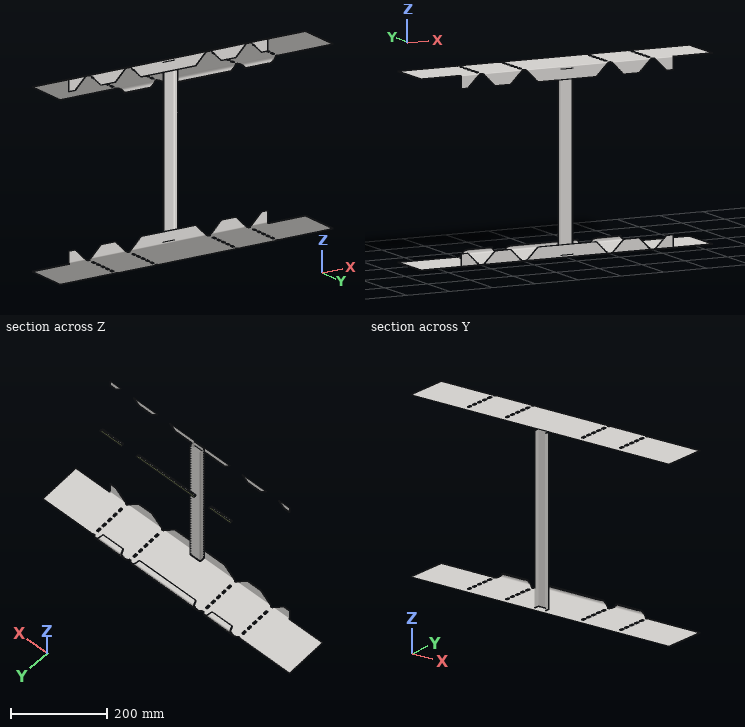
import cadquery as cq
import math

LENGTH = 680.0
DEPTH = 114.0
HEIGHT = 404.2
SHEET = 1.6

FRONT_BEND_RADIUS = 2.5
FLANGE_HEIGHT = 28.2
FLANGE_LENGTH = 495.0
BACK_BEND_RADIUS = 7.0
LIP_STRAIGHT = 3.2
RETURN_BEND_RADIUS = 3.5
RETURN_BEND_ANGLE = 70.0
RETURN_LENGTH = 9.8

FOLD_LINES = (-200.0, -100.0, 100.0, 200.0)
SLOT_WIDTH = 4.5
SLOT_LENGTH = 8.5
SLOT_PITCH = 17.0
SLOT_COUNT = 5
SLOT_ROW_OFFSET = -0.7
NOTCH_WIDTH = SLOT_WIDTH
NOTCH_BITE = 1.5

POST_WIDTH = 30.0
POST_DEPTH = 15.0
POST_CORNER_RADIUS = 3.0
POST_END_GAP = 6.0

TOP = HEIGHT / 2
FRONT = -DEPTH / 2
BACK = DEPTH / 2
PLATE_FRONT = FRONT + FRONT_BEND_RADIUS
PLATE_BACK = BACK - BACK_BEND_RADIUS


def point_at(start, distance, degrees):
    """Point at a distance and direction from a start point, in the YZ plane."""
    angle = math.radians(degrees)
    return (start[0] + distance * math.cos(angle), start[1] + distance * math.sin(angle))


def plate():
    """Flat web of the top rail."""
    middle = (PLATE_FRONT + PLATE_BACK) / 2
    return (
        cq.Workplane("XY", origin=(0, middle, TOP - SHEET))
        .rect(LENGTH, PLATE_BACK - PLATE_FRONT)
        .extrude(SHEET)
    )


def flange():
    """Front flange with the bend that joins it to the plate."""
    centre = (PLATE_FRONT, TOP - FRONT_BEND_RADIUS)
    inner_radius = FRONT_BEND_RADIUS - SHEET
    bottom = TOP - FLANGE_HEIGHT
    return (
        cq.Workplane("YZ")
        .moveTo(PLATE_FRONT, TOP)
        .threePointArc(point_at(centre, FRONT_BEND_RADIUS, 135), point_at(centre, FRONT_BEND_RADIUS, 180))
        .lineTo(FRONT, bottom)
        .lineTo(FRONT + SHEET, bottom)
        .lineTo(*point_at(centre, inner_radius, 180))
        .threePointArc(point_at(centre, inner_radius, 135), point_at(centre, inner_radius, 90))
        .close()
        .extrude(FLANGE_LENGTH / 2, both=True)
    )


def lip():
    """Back lip: a wide bend, a short straight and an inward return."""
    bend = (PLATE_BACK, TOP - BACK_BEND_RADIUS)
    bend_inner = BACK_BEND_RADIUS - SHEET
    turn = (BACK - RETURN_BEND_RADIUS, bend[1] - LIP_STRAIGHT)
    turn_inner = RETURN_BEND_RADIUS - SHEET
    turn_end = -RETURN_BEND_ANGLE
    turn_middle = turn_end / 2
    return_direction = turn_end - 90
    outer_corner = point_at(turn, RETURN_BEND_RADIUS, turn_end)
    inner_corner = point_at(turn, turn_inner, turn_end)
    return (
        cq.Workplane("YZ")
        .moveTo(PLATE_BACK, TOP)
        .threePointArc(point_at(bend, BACK_BEND_RADIUS, 45), point_at(bend, BACK_BEND_RADIUS, 0))
        .lineTo(*point_at(turn, RETURN_BEND_RADIUS, 0))
        .threePointArc(point_at(turn, RETURN_BEND_RADIUS, turn_middle), outer_corner)
        .lineTo(*point_at(outer_corner, RETURN_LENGTH, return_direction))
        .lineTo(*point_at(inner_corner, RETURN_LENGTH, return_direction))
        .lineTo(*inner_corner)
        .threePointArc(point_at(turn, turn_inner, turn_middle), point_at(turn, turn_inner, 0))
        .lineTo(*point_at(bend, bend_inner, 0))
        .threePointArc(point_at(bend, bend_inner, 45), point_at(bend, bend_inner, 90))
        .close()
        .extrude((FOLD_LINES[-1] - FOLD_LINES[0]) / 2, both=True)
    )


def trapezoid(plane, root_half, mouth_half, start, end):
    """Symmetric outline that widens from the start height to the end height."""
    corners = [(-root_half, start), (root_half, start), (mouth_half, end), (-mouth_half, end)]
    return plane.polyline(corners).close()


def fold_notch(x, bend_start, outward, bend_radius):
    """Cutter for a 90 degree V, laid out on the flat sheet and wrapped around a bend.

    Around the bend the V is square to the bend's chord and widens with the bend's arc length.
    Below the bend it runs on down the sheet at 45 degrees.
    """
    root_half = NOTCH_WIDTH / 2
    bend_half = root_half + bend_radius * math.pi / 2
    chord = bend_radius * math.sqrt(2)
    chord_plane = cq.Plane(origin=(x, bend_start, TOP), xDir=(1, 0, 0), normal=(0, 1, outward))
    around_bend = trapezoid(cq.Workplane(chord_plane), root_half, bend_half, 0, chord)
    around_bend = around_bend.extrude(bend_radius / 2, both=True)

    drop = FLANGE_HEIGHT - bend_radius
    upright_plane = cq.Workplane("XZ", origin=(x, bend_start, TOP - bend_radius))
    down_sheet = trapezoid(upright_plane, bend_half, bend_half + drop, 0, -drop)
    down_sheet = down_sheet.extrude(2 * BACK_BEND_RADIUS, both=True)
    return around_bend.union(down_sheet)


def plate_cuts(x):
    """Slot row and the two square notch roots on one fold line."""
    plane = cq.Workplane("XY", origin=(x, 0, TOP - SHEET))
    slots = plane.center(0, SLOT_ROW_OFFSET).rarray(1, SLOT_PITCH, 1, SLOT_COUNT)
    cuts = slots.rect(SLOT_WIDTH, SLOT_LENGTH).extrude(SHEET)
    edges = plane.pushPoints([(0, PLATE_FRONT), (0, PLATE_BACK)])
    return cuts.union(edges.rect(NOTCH_WIDTH, 2 * NOTCH_BITE).extrude(SHEET))


def rail():
    """Top rail."""
    flat = plate()
    front = flange()
    back = lip()
    for x in FOLD_LINES:
        flat = flat.cut(plate_cuts(x))
        front = front.cut(fold_notch(x, PLATE_FRONT, -1, FRONT_BEND_RADIUS))
        back = back.cut(fold_notch(x, PLATE_BACK, 1, BACK_BEND_RADIUS))
    return flat.union(front).union(back)


def post_bar(inset):
    """Round-cornered upright bar, set in all round from the outside of the post."""
    return (
        cq.Workplane("XY", origin=(0, FRONT + SHEET + POST_DEPTH / 2, 0))
        .rect(POST_WIDTH - 2 * inset, POST_DEPTH - 2 * inset)
        .extrude(TOP - POST_END_GAP, both=True)
        .edges("|Z")
        .fillet(POST_CORNER_RADIUS - inset)
    )


def post():
    """Thin-walled upright that stands against the inside of both front flanges."""
    return post_bar(0).cut(post_bar(SHEET))


top_rail = rail()
bottom_rail = top_rail.mirror("XY")
upright = post()

result = cq.Compound.makeCompound([top_rail.val(), bottom_rail.val(), upright.val()])